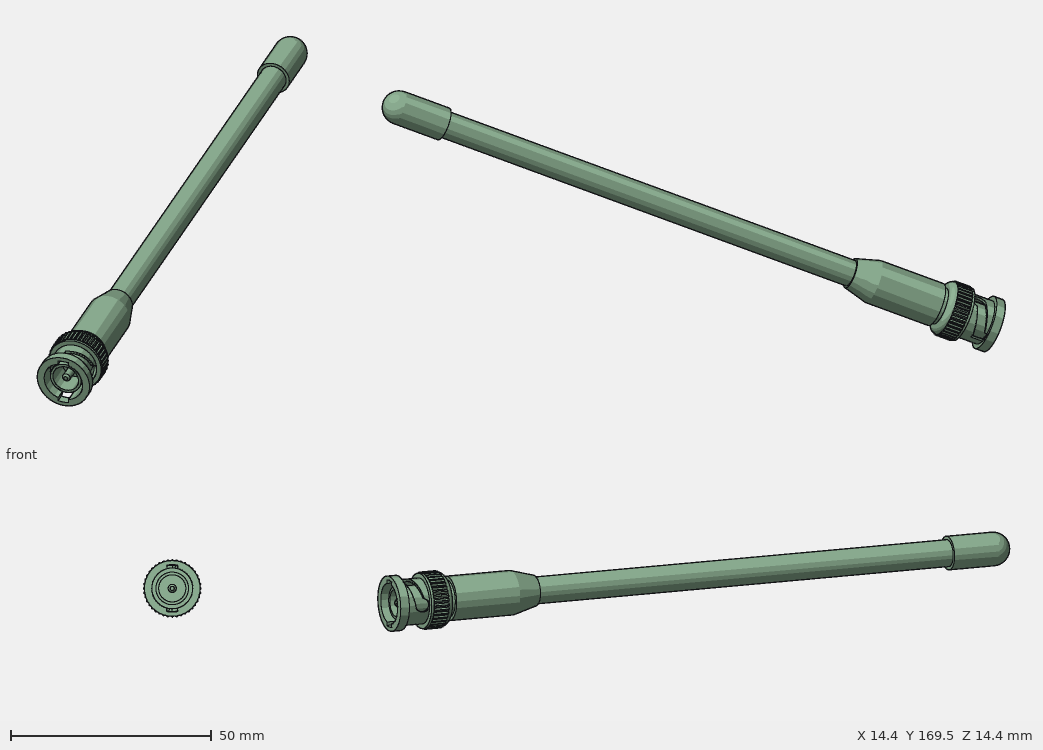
import cadquery as cq
import math


total_length = 169.5
whip_radius = 3.4
cap_radius = 4.2
cap_length = 16.6

sleeve_top = 39.7
sleeve_top_radius = 3.9
taper_start = 33.4
sleeve_radius = 5.6
sleeve_face = 16.0
spigot_radius = 4.7

core_radius = 4.0
core_bore_radius = 3.4
core_face = 1.7
core_floor = 8.5
pin_radius = 1.0
pin_face = 1.7
pin_chamfer = 0.5

nut_back = 14.8
nut_back_fillet = 1.5
grip_radius = 7.0
knurl_diameter = 14.4
knurl_radius = knurl_diameter / 2
knurl_start = 9.2
knurl_end = 13.2
knurl_teeth = 40
knurl_depth = 0.3
grip_front = 8.5
neck_radius = 5.8
flange_radius = 7.0
flange_length = 2.4
nut_bore_radius = 5.1
nut_bore_depth = 10.2

slot_width = 2.7
slot_outer_radius = 6.0
slot_turn = 90
slot_start = 4.0
lock_hole_radius = 1.7
ramp_end = 6.1
lock_hole_center = 6.8
slot_steps = 12


def revolve_profile(outline):
    """Turn a closed (radius, Y) outline, drawn in the XY plane, about the Y axis."""
    return outline.close().revolve(360, (0, 0, 0), (0, 1, 0))


def cylinder(radius, start, end):
    """Solid cylinder on the Y axis between two Y positions."""
    return cq.Workplane("XZ", origin=(0, end, 0)).circle(radius).extrude(end - start)


def make_cap():
    base = total_length - cap_length
    dome_base = total_length - cap_radius
    diagonal = cap_radius * math.sqrt(0.5)
    return revolve_profile(
        cq.Workplane("XY")
        .moveTo(0, base)
        .lineTo(cap_radius, base)
        .lineTo(cap_radius, dome_base)
        .threePointArc((diagonal, dome_base + diagonal), (0, total_length))
    )


def make_whip():
    return cylinder(whip_radius, sleeve_top, total_length - cap_length)


def make_sleeve():
    sleeve = revolve_profile(
        cq.Workplane("XY")
        .moveTo(0, core_floor)
        .lineTo(core_bore_radius, core_floor)
        .lineTo(core_bore_radius, core_face)
        .lineTo(core_radius, core_face)
        .lineTo(core_radius, nut_back)
        .lineTo(spigot_radius, nut_back)
        .lineTo(spigot_radius, sleeve_face)
        .lineTo(sleeve_radius, sleeve_face)
        .lineTo(sleeve_radius, taper_start)
        .lineTo(sleeve_top_radius, sleeve_top)
        .lineTo(0, sleeve_top)
    )
    pin = cylinder(pin_radius, pin_face, core_floor).faces("<Y").chamfer(pin_chamfer)
    return sleeve.union(pin)


def make_knurl():
    """Toothed ring whose teeth are straight ridges along Y."""
    pitch = 2 * math.pi / knurl_teeth
    half_pitch = pitch / 2
    points = []
    for tooth in range(knurl_teeth):
        for radius, offset in ((knurl_radius, 0), (knurl_radius - knurl_depth, half_pitch)):
            angle = tooth * pitch + offset
            points.append((radius * math.cos(angle), radius * math.sin(angle)))
    ring = cq.Workplane("XZ", origin=(0, knurl_end, 0)).polyline(points).close()
    return ring.extrude(knurl_end - knurl_start)


def make_bayonet_slot():
    """Entry groove at +Z, helical ramp toward +X swept in small turns, round locking hole at +X."""
    entry = (
        cq.Workplane("XY")
        .box(slot_width, slot_start + slot_width / 2, slot_outer_radius, centered=(True, False, False))
        .intersect(cylinder(slot_outer_radius, 0, nut_back))
    )
    lock_hole = (
        cq.Workplane("YZ", origin=(0, lock_hole_center, 0)).circle(lock_hole_radius).extrude(slot_outer_radius)
    )
    slot = entry.union(lock_hole)
    for step in range(slot_steps + 1):
        fraction = step / slot_steps
        y = slot_start + fraction * (ramp_end - slot_start)
        lug = (
            cq.Workplane("XY", origin=(0, y, 0))
            .circle(slot_width / 2)
            .extrude(slot_outer_radius)
            .rotate((0, 0, 0), (0, 1, 0), fraction * slot_turn)
        )
        slot = slot.union(lug)
    return slot


def make_nut():
    nut = cylinder(grip_radius, grip_front, nut_back).faces(">Y").edges().fillet(nut_back_fillet)
    nut = nut.union(make_knurl())
    nut = nut.union(cylinder(neck_radius, 0, grip_front))
    nut = nut.union(cylinder(flange_radius, 0, flange_length))
    nut = nut.cut(cylinder(nut_bore_radius, 0, nut_bore_depth))
    nut = nut.cut(cylinder(core_radius, 0, nut_back))
    slot = make_bayonet_slot()
    for angle in (0, 180):
        nut = nut.cut(slot.rotate((0, 0, 0), (0, 1, 0), angle))
    return nut


cap = make_cap()
whip = make_whip()
sleeve = make_sleeve()
nut = make_nut()

result = cq.Compound.makeCompound([cap.val(), whip.val(), sleeve.val(), nut.val()])